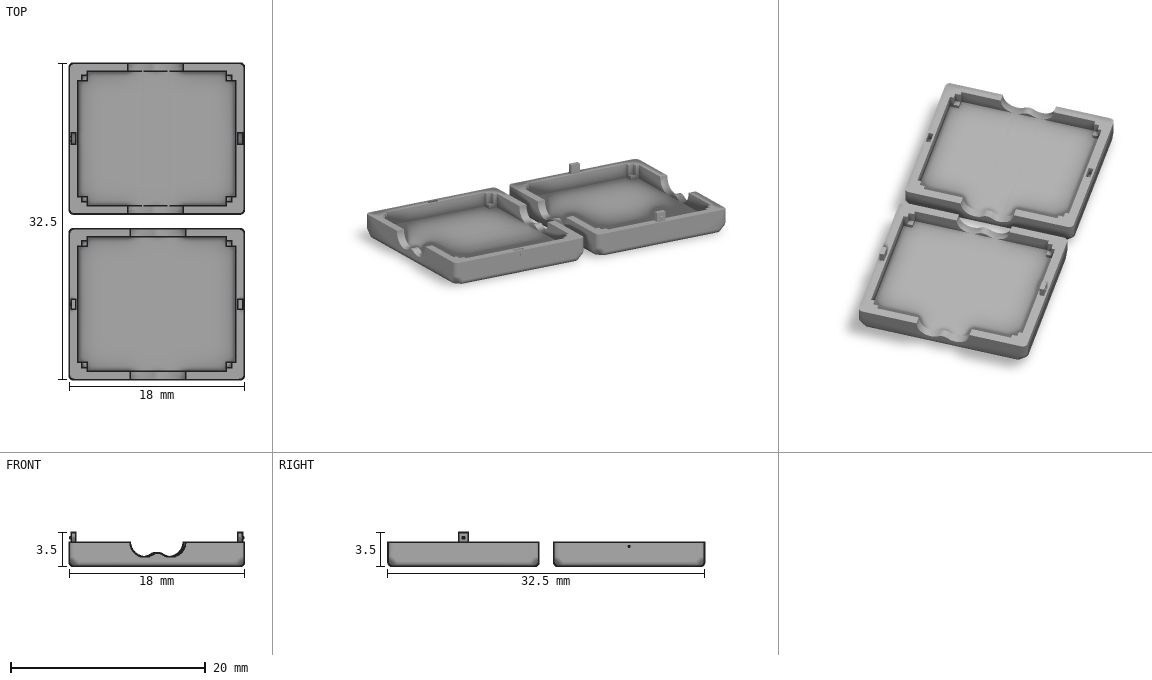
import cadquery as cq
import math

length = 18.0
width = 15.5
height = 2.5
edge_radius = 0.5
corner_cut = (4 - math.sqrt(3)) * edge_radius
tray_gap = 1.5

side_wall = 0.9
end_wall = 0.85
floor_height = 1.0
cavity_length = length - 2 * side_wall
cavity_width = width - 2 * end_wall

post_size = 0.95
seat_size = 0.55
seat_height = 1.4

lobe_radius = 1.51
lobe_spacing = 2.65
hump_radius = 0.85
opening_offset = 0.12

tab_thickness = 0.5
tab_width = 1.0
tab_height = 1.0
tab_inset = 0.2
tab_center_x = length / 2 - tab_inset - tab_thickness / 2
tab_outer_x = length / 2 - tab_inset
slot_width = 1.2
slot_depth = 1.0
bead_radius = 0.12
bead_rise = 0.45
dimple_radius = 0.21

center_distance = width + tray_gap


def box_on(size_x, size_y, bottom, top, x=0.0, y=0.0):
    """Upright box centred on (x, y) between two heights."""
    return (
        cq.Workplane("XY", origin=(x, y, bottom))
        .rect(size_x, size_y)
        .extrude(top - bottom)
    )


def ball(radius, x, z):
    """Ball on the centre line of a half."""
    return cq.Workplane("YZ", origin=(x, 0, z)).sphere(radius)


def opening(center_x, depth):
    """Two lobes joined by a tangent hump, cut down from the rim and centred in Y."""
    half_lobes = lobe_spacing / 2
    center_drop = math.sqrt((lobe_radius + hump_radius) ** 2 - half_lobes ** 2)
    lobe_share = lobe_radius / (lobe_radius + hump_radius)
    join_x = half_lobes * (1 - lobe_share)
    join_z = height - center_drop * lobe_share
    hump_top = height - center_drop + hump_radius
    outer_x = half_lobes + lobe_radius
    lobe_bottom = height - lobe_radius
    return (
        cq.Workplane("XZ", origin=(center_x, 0, 0))
        .moveTo(-outer_x, height)
        .threePointArc((-half_lobes, lobe_bottom), (-join_x, join_z))
        .threePointArc((0, hump_top), (join_x, join_z))
        .threePointArc((half_lobes, lobe_bottom), (outer_x, height))
        .close()
        .extrude(depth / 2, both=True)
    )


def rounded_block():
    """Block with its bottom corners cut flat, then rounded everywhere except at the rim."""
    block = box_on(length, width, 0, height)
    cutter_size = 4 * corner_cut
    for side_x in (-1, 1):
        for side_y in (-1, 1):
            flat_center = (
                side_x * (length / 2 - corner_cut / 3),
                side_y * (width / 2 - corner_cut / 3),
                corner_cut / 3,
            )
            flat_plane = cq.Plane(origin=flat_center, normal=(side_x, side_y, -1))
            cutter = cq.Workplane(flat_plane).rect(cutter_size, cutter_size).extrude(corner_cut)
            block = block.cut(cutter)
    return block.edges("not(>Z)").fillet(edge_radius)


def shell():
    """Rounded tray with a cavity and four seated corner posts."""
    tray = rounded_block()
    cavity = box_on(cavity_length, cavity_width, floor_height, height)
    post_x = (cavity_length - post_size) / 2
    post_y = (cavity_width - post_size) / 2
    seat_x = cavity_length / 2 - post_size + seat_size / 2
    seat_y = cavity_width / 2 - post_size + seat_size / 2
    for side_x in (-1, 1):
        for side_y in (-1, 1):
            post = box_on(post_size, post_size, floor_height, height, side_x * post_x, side_y * post_y)
            seat = box_on(seat_size, seat_size, seat_height, height, side_x * seat_x, side_y * seat_y)
            cavity = cavity.cut(post).union(seat)
    return tray.cut(cavity)


def build_base():
    """Half with plain floor and two snap tabs standing on its rim."""
    end_gaps = opening(opening_offset, width).cut(
        box_on(length, cavity_width, 0, height)
    )
    base = shell().cut(end_gaps)
    for side in (-1, 1):
        tab = box_on(tab_thickness, tab_width, height, height + tab_height, side * tab_center_x)
        bead = ball(bead_radius, side * tab_outer_x, height + bead_rise)
        base = base.union(tab).union(bead)
    return base.translate((0, -center_distance / 2, 0))


def build_lid():
    """Half whose lobes graze the floor, with slots that take the snap tabs."""
    lid = shell().cut(opening(-opening_offset, width))
    for side in (-1, 1):
        slot = box_on(tab_thickness, slot_width, height - slot_depth, height, side * tab_center_x)
        dimple = ball(dimple_radius, side * tab_outer_x, height - bead_rise)
        lid = lid.cut(slot).cut(dimple)
    return lid.translate((0, center_distance / 2, 0))


base = build_base()
lid = build_lid()
result = cq.Compound.makeCompound([*base.solids().vals(), *lid.solids().vals()])